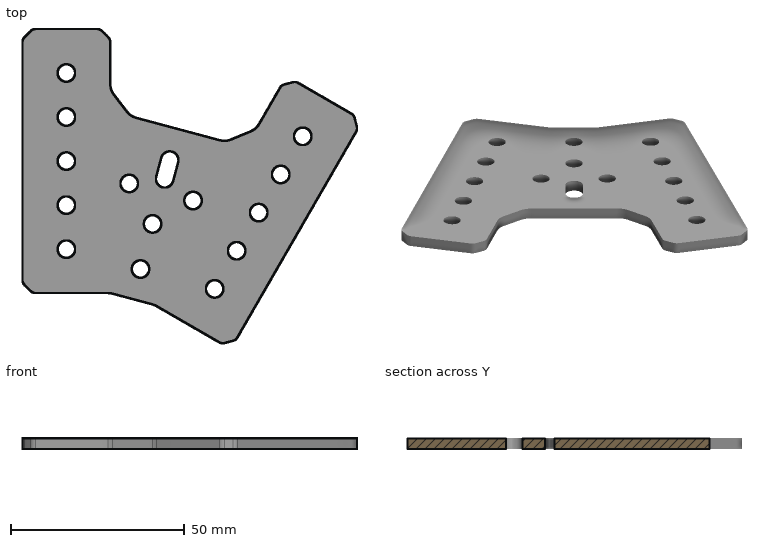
import cadquery as cq
import math

thickness = 3.175
hole_pitch = 12.7
arm_width = 2 * hole_pitch
arm_length = 6 * hole_pitch
arm_hole_count = 5
web_height = 4 * hole_pitch
hole_diameter = 4.98

axis_lean = math.radians(15)
axis_distance = 31.11

corner_chamfer = 3.0
corner_radius = 2.0
inner_chamfer = 6.0
web_radius = 5.0

mount_square = 19.05
mount_radius = mount_square / math.sqrt(2)
mount_height = 22.45
mount_hole_angles = (-45, 45, 180)
slot_offset = 16.25
slot_center_length = 5.6

lean_cos = math.cos(axis_lean)
lean_sin = math.sin(axis_lean)
web_foot_offset = arm_width * lean_sin


def axis_point(across, along):
    """Point given by its distances across the symmetry axis and along it from the web foot."""
    height = web_foot_offset + along
    reach = axis_distance + across
    return (reach * lean_cos + height * lean_sin, height * lean_cos - reach * lean_sin)


def mirrored(point):
    """Reflect a point of the left arm onto the right arm."""
    x, y = point
    gap = axis_distance - (x * lean_cos - y * lean_sin)
    return (x + 2 * gap * lean_cos, y - 2 * gap * lean_sin)


def half_outline():
    """Left half of the outline, from the web foot clockwise to the top of the web."""
    web_corner_y = web_height / lean_cos
    return [
        (arm_width, 0),
        (corner_chamfer, 0),
        (0, corner_chamfer),
        (0, arm_length - corner_chamfer),
        (corner_chamfer, arm_length),
        (arm_width - corner_chamfer, arm_length),
        (arm_width, arm_length - corner_chamfer),
        (arm_width, web_corner_y + inner_chamfer),
        (arm_width + inner_chamfer * lean_cos, web_corner_y - inner_chamfer * lean_sin),
    ]


def round_edges(plate, points, radius):
    """Round the vertical edges at the given outline points and at their mirror images."""
    edges = cq.Workplane("XY")
    for point in points + [mirrored(p) for p in points]:
        edge = plate.edges("|Z").edges(cq.selectors.NearestToPointSelector((*point, thickness / 2)))
        edges = edges.add(edge)
    return plate.newObject(edges.vals()).fillet(radius)


def make_plate():
    left = half_outline()
    right = [mirrored(p) for p in reversed(left)]
    plate = cq.Workplane("XY").polyline(left + right).close().extrude(thickness)
    outer_corners = left[1:7]
    web_corners = left[:1] + left[7:]
    plate = round_edges(plate, outer_corners, corner_radius)
    return round_edges(plate, web_corners, web_radius)


def arm_holes():
    """Rows of holes along the middle of both arms."""
    row = [(arm_width / 2, hole_pitch * (i + 1)) for i in range(arm_hole_count)]
    points = row + [mirrored(p) for p in row]
    return cq.Workplane("XY").pushPoints(points).circle(hole_diameter / 2).extrude(thickness)


def mount_holes():
    """Center hole and holes on the mount circle, at angles measured from the symmetry axis."""
    points = [axis_point(0, mount_height)]
    for angle in mount_hole_angles:
        turn = math.radians(angle)
        across = mount_radius * math.sin(turn)
        along = mount_height + mount_radius * math.cos(turn)
        points.append(axis_point(across, along))
    return cq.Workplane("XY").pushPoints(points).circle(hole_diameter / 2).extrude(thickness)


def mount_slot():
    """Round-ended slot lying along the symmetry axis above the mount."""
    slot_angle = 90 - math.degrees(axis_lean)
    return (
        cq.Workplane("XY")
        .pushPoints([axis_point(0, mount_height + slot_offset)])
        .slot2D(slot_center_length + hole_diameter, hole_diameter, slot_angle)
        .extrude(thickness)
    )


result = make_plate().cut(arm_holes()).cut(mount_holes()).cut(mount_slot())